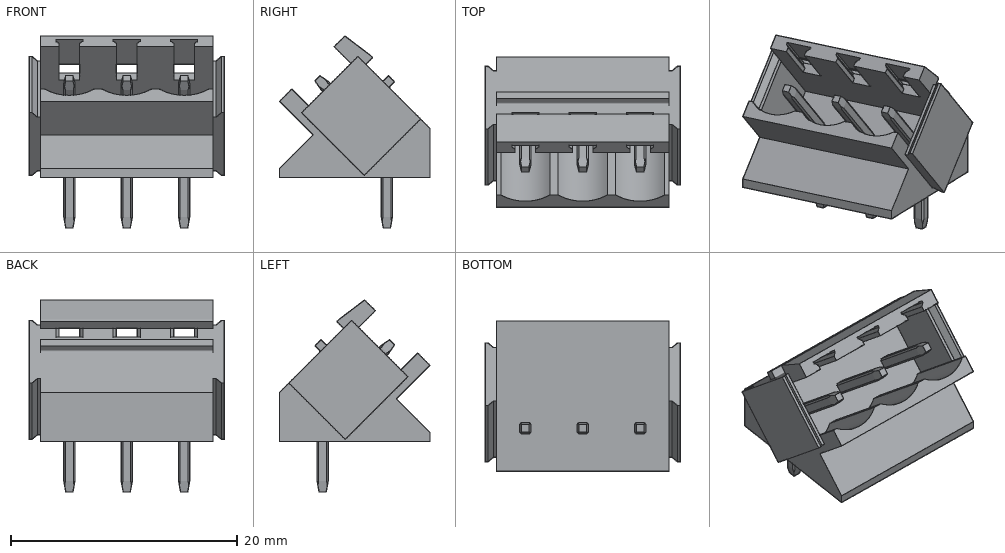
import cadquery as cq
import math

body_width = 15.24
base_depth = 13.3
pole_pitch = 5.07
pole_positions = [-pole_pitch, 0, pole_pitch]

tilt = math.radians(45)
center_y = 7.2
center_z = 5.45
u_direction = (0, -math.cos(tilt), math.sin(tilt))
side_plane = cq.Plane(origin=(0, center_y, center_z), xDir=u_direction, normal=(-1, 0, 0))
mouth_plane = cq.Plane(origin=(0, center_y, center_z), xDir=(1, 0, 0), normal=u_direction)
v_direction = (0, math.cos(tilt), math.sin(tilt))
across_plane = cq.Plane(origin=(0, center_y, center_z), xDir=(1, 0, 0), normal=v_direction)

plate_length = 7.83
plate_height = 7.03
plate_rim = 0.25
plate_bevel = 0.47
plate_neck = 0.28
plate_inset = 0.55

back_v = plate_height / 2
cavity_half_height = 2.64
cavity_floor_u = -2.65
mouth_u = 6.0
undercut_u = 1.81
lower_wall_v = mouth_u - center_y / math.cos(tilt)

hood_back_u = 2.91
hood_taper_u = 3.22
hood_back_v = 4.36
hood_front_v = 3.98

rib_start_u = 0.03
rib_width = 0.78
rib_height = 0.7
rib_fillet = 0.15

slot_end_u = 1.86
slot_wide = 2.4
slot_neck = 1.83
slot_straight = 0.17
slot_flare = (slot_wide - slot_neck) / 2

relief_width = 4.35
relief_depth = 0.8

pin_size = 1.0
pin_chamfer = 0.15
pin_tip_size = 0.64
pin_tip_length = 0.98
pin_y = 9.48
pin_v = -0.38
pin_top_u = 5.09
pin_bottom_z = -4.47


def to_tilted(y, z):
    """Convert a Y, Z position to socket u, v."""
    dy = y - center_y
    dz = z - center_z
    u = dz * math.sin(tilt) - dy * math.cos(tilt)
    v = dy * math.cos(tilt) + dz * math.sin(tilt)
    return u, v


def to_upright(u, v):
    """Convert a socket u, v position to Y, Z."""
    y = center_y + (v - u) * math.cos(tilt)
    z = center_z + (u + v) * math.sin(tilt)
    return y, z


def make_shell():
    """Base, lower wall and hood in one side outline, with the socket cavity left open to both ends."""
    base_back_u = back_v - (base_depth - center_y) / math.cos(tilt)
    foot_front_v = undercut_u - center_y / math.cos(tilt)
    outline = [
        to_tilted(0, 0),
        to_tilted(base_depth, 0),
        (base_back_u, back_v),
        (hood_back_u, back_v),
        (hood_back_u, hood_back_v),
        (hood_taper_u, hood_back_v),
        (mouth_u, hood_front_v),
        (mouth_u, cavity_half_height),
        (cavity_floor_u, cavity_half_height),
        (cavity_floor_u, -cavity_half_height),
        (mouth_u, -cavity_half_height),
        (mouth_u, lower_wall_v),
        (undercut_u, lower_wall_v),
        (undercut_u, foot_front_v),
    ]
    return cq.Workplane(side_plane).polyline(outline).close().extrude(body_width / 2, both=True)


def make_rib():
    """Rib standing on the back face, with a concave fillet along each foot."""
    rib_end_u = rib_start_u + rib_width
    rib_top_v = back_v + rib_height
    fillet_v = back_v + rib_fillet
    return (
        cq.Workplane(side_plane)
        .moveTo(rib_start_u - rib_fillet, back_v)
        .radiusArc((rib_start_u, fillet_v), -rib_fillet)
        .lineTo(rib_start_u, rib_top_v)
        .lineTo(rib_end_u, rib_top_v)
        .lineTo(rib_end_u, fillet_v)
        .radiusArc((rib_end_u + rib_fillet, back_v), -rib_fillet)
        .close()
        .extrude(body_width / 2, both=True)
    )


def make_end_plate():
    """End plate on the +X side: neck against the body, bevel and rim, the same all along v."""
    neck_x = body_width / 2
    bevel_x = neck_x + plate_neck
    rim_x = bevel_x + plate_bevel
    outer_x = rim_x + plate_rim
    rim_u = plate_length / 2
    neck_u = rim_u - plate_inset
    outline = [
        (neck_x, -neck_u),
        (bevel_x, -neck_u),
        (rim_x, -rim_u),
        (outer_x, -rim_u),
        (outer_x, rim_u),
        (rim_x, rim_u),
        (bevel_x, neck_u),
        (neck_x, neck_u),
    ]
    return cq.Workplane(across_plane).polyline(outline).close().extrude(plate_height / 2, both=True)


def make_hood_slot(x):
    """Slot along the inside of the hood, flaring toward its bottom, which lies level with the back face."""
    flare_v = back_v - slot_straight
    neck_v = flare_v - slot_flare
    right_half = [
        (x + slot_neck / 2, cavity_half_height),
        (x + slot_neck / 2, neck_v),
        (x + slot_wide / 2, flare_v),
        (x + slot_wide / 2, back_v),
    ]
    left_half = [(2 * x - point_x, v) for point_x, v in reversed(right_half)]
    return (
        cq.Workplane(mouth_plane)
        .workplane(offset=slot_end_u)
        .polyline(right_half + left_half)
        .close()
        .extrude(mouth_u - slot_end_u)
    )


def make_wall_relief(x):
    """Arched relief along the lower wall, from the cavity floor to the mouth."""
    return (
        cq.Workplane(mouth_plane)
        .workplane(offset=cavity_floor_u)
        .moveTo(x - relief_width / 2, -cavity_half_height)
        .threePointArc(
            (x, -cavity_half_height - relief_depth),
            (x + relief_width / 2, -cavity_half_height),
        )
        .close()
        .extrude(mouth_u - cavity_floor_u)
    )


def make_pin_tip(plane):
    """Tapered tip that starts on the given plane and points along its normal."""
    taper_angle = math.degrees(math.atan((pin_size - pin_tip_size) / 2 / pin_tip_length))
    bar = cq.Workplane(plane).placeSketch(pin_section).extrude(pin_tip_length)
    pyramid = cq.Workplane(plane).rect(pin_size, pin_size).extrude(pin_tip_length, taper=taper_angle)
    return bar.intersect(pyramid)


def make_pin(x):
    """Bent pin: an upright solder leg, a mitred bend and a contact leg along u, both with tapered tips."""
    leg_start = (pin_y, pin_bottom_z + pin_tip_length)
    bend_u = pin_v - (pin_y - center_y) / math.cos(tilt)
    bend = to_upright(bend_u, pin_v)
    leg_end = to_upright(pin_top_u - pin_tip_length, pin_v)
    path = cq.Workplane("YZ", origin=(x, 0, 0)).polyline([leg_start, bend, leg_end])
    legs = (
        cq.Workplane("XY", origin=(x, *leg_start))
        .placeSketch(pin_section)
        .sweep(path, transition="right")
    )
    solder_plane = cq.Plane(origin=(x, *leg_start), xDir=(1, 0, 0), normal=(0, 0, -1))
    contact_plane = cq.Plane(origin=(x, *leg_end), xDir=(1, 0, 0), normal=u_direction)
    return legs.union(make_pin_tip(solder_plane)).union(make_pin_tip(contact_plane))


pin_section = cq.Sketch().rect(pin_size, pin_size).vertices().chamfer(pin_chamfer)
pins = [make_pin(x) for x in pole_positions]

end_plate = make_end_plate()
housing = make_shell().union(make_rib()).union(end_plate).union(end_plate.mirror("YZ"))
for x in pole_positions:
    housing = housing.cut(make_hood_slot(x)).cut(make_wall_relief(x))
for pin in pins:
    housing = housing.cut(pin)

result = cq.Compound.makeCompound([housing.val(), *[pin.val() for pin in pins]])